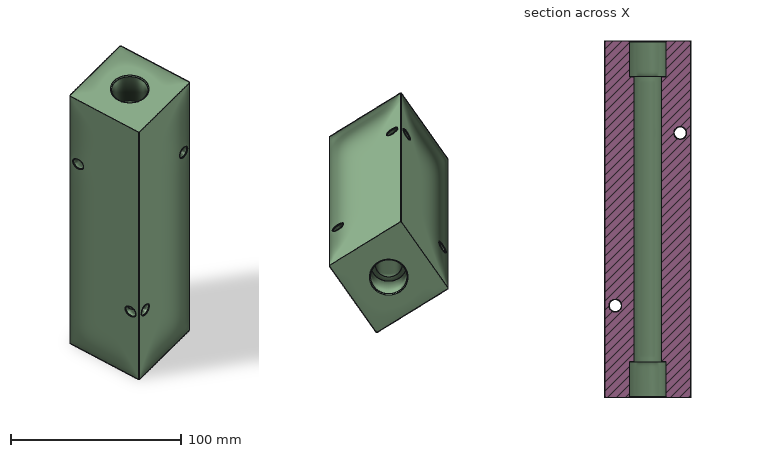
import cadquery as cq

length = 209.5
width = 50.7
edge_break = 0.5

bore_diameter = 16.0
port_diameter = 21.4
port_mouth_diameter = 22.6
port_depth = 21.0

cross_hole_diameter = 7.1
cross_hole_mouth_diameter = 8.0
cross_hole_edge_distance = 6.3

cross_hole_height = width
cross_hole_offset = width / 2 - cross_hole_edge_distance


def flared_cutter(diameter, mouth_diameter, span):
    """Round cutter along Z, centred on the origin, flaring at 45 degrees at both ends."""
    radius = diameter / 2
    mouth_radius = mouth_diameter / 2
    flare = mouth_radius - radius
    half_span = span / 2
    profile = (
        cq.Workplane("XZ")
        .moveTo(0, -half_span)
        .lineTo(mouth_radius, -half_span)
        .lineTo(radius, flare - half_span)
        .lineTo(radius, half_span - flare)
        .lineTo(mouth_radius, half_span)
        .lineTo(0, half_span)
        .close()
    )
    return profile.revolve(360, (0, 0), (0, 1))


def end_ports():
    """Cutter for both end ports, leaving out the stretch between their floors."""
    port_gap = length - 2 * port_depth
    spacer = cq.Workplane("XY").box(width, width, port_gap)
    return flared_cutter(port_diameter, port_mouth_diameter, length).cut(spacer)


result = cq.Workplane("XY").box(width, width, length).edges("|Z").chamfer(edge_break)

bore = cq.Workplane("XY").circle(bore_diameter / 2).extrude(length / 2, both=True)
result = result.cut(bore).cut(end_ports())

cross_hole = flared_cutter(cross_hole_diameter, cross_hole_mouth_diameter, width)
hole_along_y = cross_hole.rotate((0, 0, 0), (1, 0, 0), 90)
hole_along_x = cross_hole.rotate((0, 0, 0), (0, 1, 0), 90)
for side in (-1, 1):
    height = side * cross_hole_height
    offset = side * cross_hole_offset
    result = result.cut(hole_along_y.translate((-offset, 0, height)))
    result = result.cut(hole_along_x.translate((0, offset, height)))